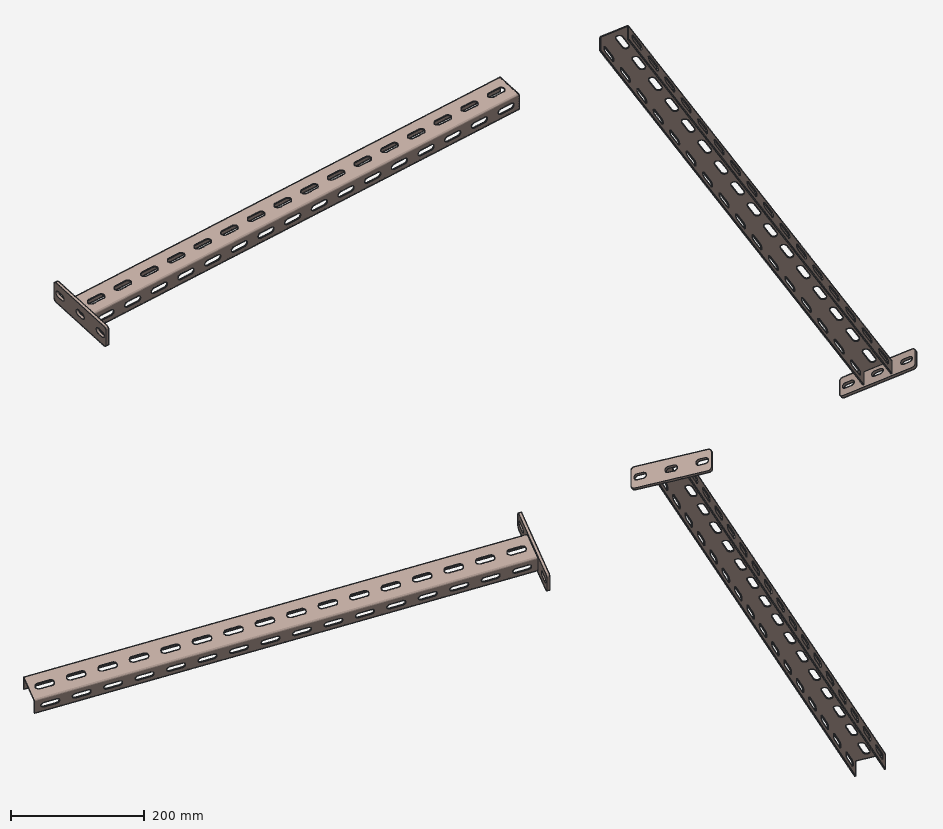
import cadquery as cq

plate_width = 130.0
plate_height = 40.0
plate_thickness = 5.0
plate_corner_radius = 6.0
plate_slot_length = 20.0
plate_slot_width = 11.0
plate_slot_pitch = 50.0
plate_slot_count = 3

channel_length = 800.0
channel_width = 50.0
channel_height = 30.0
sheet_thickness = 2.0
bend_inner_radius = 1.5
bend_outer_radius = bend_inner_radius + sheet_thickness

channel_slot_length = 30.0
channel_slot_width = 11.0
channel_slot_pitch = 50.0
flange_slot_drop = 0.5
channel_slot_count = int(channel_length / channel_slot_pitch)

channel_middle_y = channel_length / 2
flange_slot_z = -flange_slot_drop


def make_end_plate():
    """Rounded plate with a row of horizontal slots."""
    plate = (
        cq.Workplane("XZ")
        .rect(plate_width, plate_height)
        .extrude(plate_thickness)
        .edges("|Y")
        .fillet(plate_corner_radius)
    )
    slots = (
        cq.Workplane("XZ")
        .rarray(plate_slot_pitch, 1, plate_slot_count, 1)
        .slot2D(plate_slot_length, plate_slot_width)
        .extrude(plate_thickness)
    )
    return plate.cut(slots)


def make_channel_blank():
    """Plain channel with rounded bends between web and flanges."""
    outer = (
        cq.Workplane("XY")
        .box(channel_width, channel_length, channel_height)
        .edges("|Y and >Z")
        .fillet(bend_outer_radius)
    )
    inner = (
        cq.Workplane("XY")
        .box(channel_width - 2 * sheet_thickness, channel_length, channel_height)
        .edges("|Y and >Z")
        .fillet(bend_inner_radius)
        .translate((0, 0, -sheet_thickness))
    )
    return outer.cut(inner).translate((0, channel_middle_y, 0))


def make_web_slots():
    """Cutters passing down through the web."""
    return (
        cq.Workplane("XY", origin=(0, channel_middle_y, 0))
        .rarray(1, channel_slot_pitch, 1, channel_slot_count)
        .slot2D(channel_slot_length, channel_slot_width, 90)
        .extrude(channel_height)
    )


def make_flange_slots():
    """Cutters passing across both flanges."""
    return (
        cq.Workplane("YZ", origin=(0, channel_middle_y, flange_slot_z))
        .rarray(channel_slot_pitch, 1, channel_slot_count, 1)
        .slot2D(channel_slot_length, channel_slot_width)
        .extrude(channel_width, both=True)
    )


end_plate = make_end_plate()
channel = make_channel_blank().cut(make_web_slots()).cut(make_flange_slots())

result = cq.Compound.makeCompound([end_plate.val(), channel.val()])